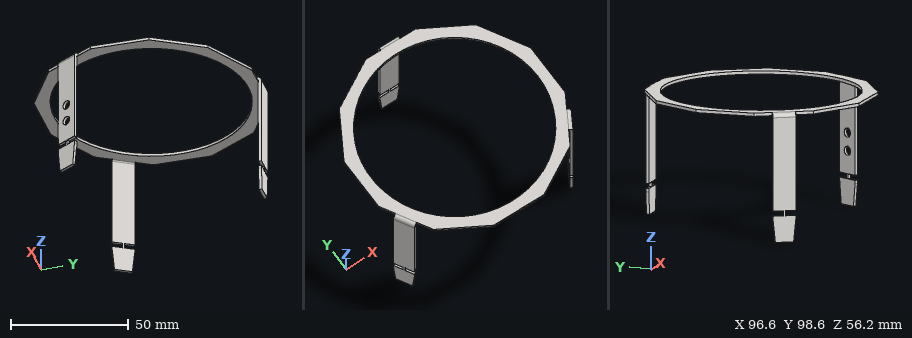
import cadquery as cq
import math

sheet = 1.5
ring_across_flats = 96.6
opening_diameter = 86.0
side_count = 12

leg_count = 3
leg_width = 10.1
overall_height = 56.2
bend_outer_radius = 2.0
bend_inner_radius = bend_outer_radius - sheet
first_leg_angle = 90.0
drilled_leg_angle = 330.0

slot_top_depth = 42.6
slot_height = 2.1
neck_width = 1.0
foot_shoulder_height = 1.5
foot_tip_width = 8.0

hole_count = 2
hole_diameter = 3.8
upper_hole_depth = 24.6
hole_spacing = 7.9

flat_distance = ring_across_flats / 2
leg_outer_face = flat_distance + bend_outer_radius
slot_bottom_depth = slot_top_depth + slot_height
taper_depth = slot_bottom_depth + foot_shoulder_height


def make_ring():
    """Twelve-sided plate with flats square to X and Y, its top face at z = 0."""
    corner_diameter = ring_across_flats / math.cos(math.pi / side_count)
    half_side_angle = 180.0 / side_count
    plate = (
        cq.Workplane("XY")
        .polygon(side_count, corner_diameter)
        .extrude(-sheet)
        .rotate((0, 0, 0), (0, 0, 1), half_side_angle)
    )
    opening = cq.Workplane("XY").circle(opening_diameter / 2).extrude(-sheet)
    return plate.cut(opening)


def make_bend():
    """Quarter-round bend on the +X flat, from the plate's edge down to the leg."""
    diagonal = math.sqrt(0.5)
    return (
        cq.Workplane("XZ")
        .moveTo(flat_distance, 0)
        .threePointArc(
            (
                flat_distance + bend_outer_radius * diagonal,
                -bend_outer_radius * (1 - diagonal),
            ),
            (leg_outer_face, -bend_outer_radius),
        )
        .lineTo(leg_outer_face - sheet, -bend_outer_radius)
        .threePointArc(
            (
                flat_distance + bend_inner_radius * diagonal,
                -bend_outer_radius + bend_inner_radius * diagonal,
            ),
            (flat_distance, -sheet),
        )
        .close()
        .extrude(leg_width / 2, both=True)
    )


def make_strip():
    """Straight leg with its neck and tapered foot, cut from flat sheet."""
    half_leg = leg_width / 2
    half_neck = neck_width / 2
    half_tip = foot_tip_width / 2
    right_edge = [
        (half_leg, -bend_outer_radius),
        (half_leg, -slot_top_depth),
        (half_neck, -slot_top_depth),
        (half_neck, -slot_bottom_depth),
        (half_leg, -slot_bottom_depth),
        (half_leg, -taper_depth),
        (half_tip, -overall_height),
    ]
    left_edge = [(-across, height) for across, height in reversed(right_edge)]
    return (
        cq.Workplane("YZ", origin=(leg_outer_face, 0, 0))
        .polyline(right_edge + left_edge)
        .close()
        .extrude(-sheet)
    )


def make_leg_holes():
    """Two round cutters, one above the other, through the leg on the +X flat."""
    hole_places = [
        (0, -upper_hole_depth - index * hole_spacing) for index in range(hole_count)
    ]
    return (
        cq.Workplane("YZ", origin=(leg_outer_face, 0, 0))
        .pushPoints(hole_places)
        .circle(hole_diameter / 2)
        .extrude(-sheet)
    )


def turn(shape, angle):
    """Swing a shape from the +X flat round the ring's axis."""
    return shape.rotate((0, 0, 0), (0, 0, 1), angle)


def make_bracket():
    """Ring and its three bent legs, all one piece of sheet."""
    bracket = make_ring()
    leg = make_bend().union(make_strip())
    for index in range(leg_count):
        angle = first_leg_angle + index * 360.0 / leg_count
        bracket = bracket.union(turn(leg, angle))
    return bracket.cut(turn(make_leg_holes(), drilled_leg_angle))


bracket = make_bracket()
result = cq.Compound.makeCompound([bracket.val()])